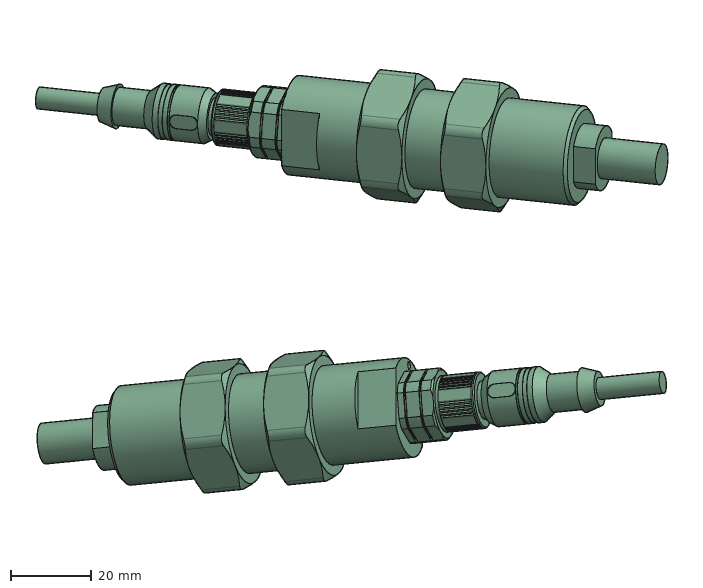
import cadquery as cq
import math

total_length = 163.0

cable_dia = 5.5
boot_start = 16.6
boot_flange_end = 20.7
boot_front_dia = 8.6
boot_flange_dia = 11.2
neck_dia = 9.6
shoulder_start = 29.0
grip_dia = 14.0
grip_start = 32.0
grip_groove_depth = 0.2
grip_grooves = [(33.4, 1.1), (35.8, 0.5)]
grip_end = 45.8
grip_taper_length = 2.0
grip_taper_end_dia = 11.7
plug_end = 47.2
grip_flat_span = 13.4
grip_flat_length = 7.3
grip_flat_height = 3.6
grip_flat_center = 40.0

ring_dia = 14.2
ring_length = 10.3
ring_chamfer = 0.3
ring_rim = 0.8
pad_count = 6
pad_width = 3.0
knurl_grooves_per_gap = 5
knurl_pitch_angle = 7.0
knurl_groove_dia = 0.5

hex_across_flats = 17.0
hex_corner_dia = 18.1
hex_turn = 13.0
hex_chamfer = 0.5
hex_groove_start = 60.6
hex_groove_width = 0.5
hex_groove_dia = 16.8
neck_groove_start = 64.7
neck_groove_width = 0.5
neck_groove_dia = 16.6

housing_start = 66.8
housing_end = 142.0
housing_dia = 25.0
housing_chamfer = 0.8
wrench_flat_span = 20.0
wrench_flat_length = 10.0
lamp_hole_dia = 2.0
lamp_hole_depth = 1.0
lamp_hole_height = 10.9
collar_dia = 16.3
collar_flat_span = 13.4
collar_length = 5.7
stub_dia = 10.3

nut_across_flats = 30.0
nut_width = 11.9
nut_corner_radius = 2.8
nut_chamfer_length = 1.1
nut_chamfer_angle = 60.0
nut_starts = [88.0, 110.0]

ring_start = plug_end
ring_end = ring_start + ring_length
collar_end = housing_end + collar_length


def turned(profile):
    """Solid of revolution about X from (x, radius) points; closes along the axis."""
    first_x = profile[0][0]
    last_x = profile[-1][0]
    points = [(first_x, 0)] + profile + [(last_x, 0)]
    return cq.Workplane("XY").polyline(points).close().revolve(360, (0, 0, 0), (1, 0, 0))


def rod(start, end, dia):
    """Cylinder on the X axis."""
    return turned([(start, dia / 2), (end, dia / 2)])


def groove_ring(start, width, outer_dia, floor_dia):
    """Annular cutter that leaves a groove floor of floor_dia."""
    return rod(start, start + width, outer_dia).cut(rod(start, start + width, floor_dia))


def hexagon(start, length, across_flats):
    """Hexagonal prism along X with one pair of flats facing -Y and +Y."""
    across_corners = across_flats / math.cos(math.pi / 6)
    return (
        cq.Workplane("YZ", origin=(start, 0, 0))
        .transformed(rotate=(0, 0, 30))
        .polygon(6, across_corners)
        .extrude(length)
    )


def side_slabs(start, length, span):
    """Two cutters that leave flats facing -Y and +Y, span apart."""
    thickness = housing_dia
    slab = cq.Workplane("XY").box(length, thickness, 2 * housing_dia)
    middle = start + length / 2
    offset = (span + thickness) / 2
    return slab.translate((middle, offset, 0)).union(slab.translate((middle, -offset, 0)))


def make_plug():
    plug = turned([
        (0, cable_dia / 2),
        (boot_start, cable_dia / 2),
        (boot_start, boot_front_dia / 2),
        (boot_flange_end, boot_flange_dia / 2),
        (boot_flange_end, neck_dia / 2),
        (shoulder_start, neck_dia / 2),
        (grip_start, grip_dia / 2),
        (grip_end - grip_taper_length, grip_dia / 2),
        (grip_end, grip_taper_end_dia / 2),
        (grip_end, neck_dia / 2),
        (plug_end, neck_dia / 2),
    ])
    for start, width in grip_grooves:
        plug = plug.cut(groove_ring(start, width, 2 * grip_dia, grip_dia - 2 * grip_groove_depth))
    oval = (
        cq.Workplane("XZ", origin=(grip_flat_center, 0, 0))
        .slot2D(grip_flat_length, grip_flat_height)
        .extrude(grip_dia, both=True)
    )
    return plug.cut(oval.intersect(side_slabs(0, total_length, grip_flat_span)))


def make_knurled_ring():
    radius = ring_dia / 2
    ring = turned([
        (ring_start, radius - ring_chamfer),
        (ring_start + ring_chamfer, radius),
        (ring_end, radius),
    ])
    knurl_start = ring_start + ring_rim
    knurl_length = ring_length - 2 * ring_rim
    pad_distance = math.sqrt(radius**2 - (pad_width / 2) ** 2)
    pad_cutter = (
        cq.Workplane("XY")
        .box(knurl_length, radius, radius)
        .translate((knurl_start + knurl_length / 2, -pad_distance - radius / 2, 0))
    )
    groove_cutter = (
        cq.Workplane("YZ", origin=(knurl_start, 0, 0))
        .center(-radius, 0)
        .circle(knurl_groove_dia / 2)
        .extrude(knurl_length)
    )
    pad_angle = 360 / pad_count
    for pad in range(pad_count):
        angle = pad * pad_angle
        ring = ring.cut(pad_cutter.rotate((0, 0, 0), (1, 0, 0), angle))
        for groove in range(knurl_grooves_per_gap):
            offset = (groove - (knurl_grooves_per_gap - 1) / 2) * knurl_pitch_angle
            groove_angle = angle + pad_angle / 2 + offset
            ring = ring.cut(groove_cutter.rotate((0, 0, 0), (1, 0, 0), groove_angle))
    return ring


def make_hex_coupling():
    radius = hex_corner_dia / 2
    envelope = turned([
        (ring_end, radius - hex_chamfer),
        (ring_end + hex_chamfer, radius),
        (housing_start, radius),
    ])
    prism = hexagon(ring_end, housing_start - ring_end, hex_across_flats)
    coupling = envelope.intersect(prism.rotate((0, 0, 0), (1, 0, 0), -hex_turn))
    coupling = coupling.cut(
        groove_ring(hex_groove_start, hex_groove_width, 2 * hex_corner_dia, hex_groove_dia)
    )
    return coupling.cut(
        groove_ring(neck_groove_start, neck_groove_width, 2 * hex_corner_dia, neck_groove_dia)
    )


def make_housing():
    radius = housing_dia / 2
    barrel = turned([
        (housing_start, radius),
        (housing_end - housing_chamfer, radius),
        (housing_end, radius - housing_chamfer),
    ])
    barrel = barrel.cut(side_slabs(housing_start, wrench_flat_length, wrench_flat_span))
    lamp_hole = (
        cq.Workplane("YZ", origin=(housing_start, 0, lamp_hole_height))
        .circle(lamp_hole_dia / 2)
        .extrude(lamp_hole_depth)
    )
    collar = rod(housing_end, collar_end, collar_dia)
    collar = collar.cut(side_slabs(housing_end, collar_length, collar_flat_span))
    stub = rod(collar_end, total_length, stub_dia)
    return barrel.cut(lamp_hole).union(collar).union(stub)


def make_lock_nut(start):
    end = start + nut_width
    face_r = nut_across_flats / 2
    slope = math.tan(math.radians(nut_chamfer_angle))
    middle_r = face_r + nut_chamfer_length * slope
    envelope = turned([
        (start, face_r),
        (start + nut_chamfer_length, middle_r),
        (end - nut_chamfer_length, middle_r),
        (end, face_r),
    ])
    prism = hexagon(start, nut_width, nut_across_flats).edges("|X").fillet(nut_corner_radius)
    return prism.intersect(envelope).cut(rod(start, end, housing_dia))


plug = make_plug()
knurled_ring = make_knurled_ring()
hex_coupling = make_hex_coupling()
housing = make_housing()
lock_nuts = [make_lock_nut(start) for start in nut_starts]

result = cq.Compound.makeCompound([
    plug.val(),
    knurled_ring.val(),
    hex_coupling.val(),
    housing.val(),
    *[nut.val() for nut in lock_nuts],
])